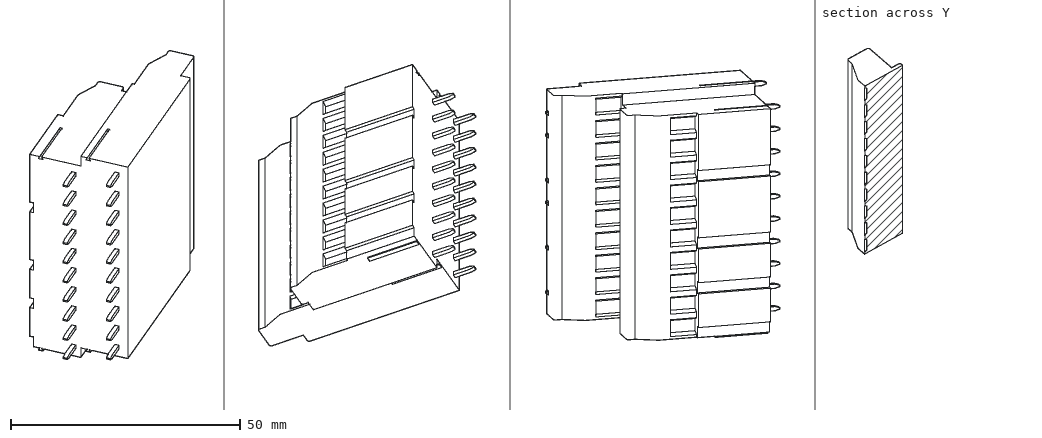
import cadquery as cq


total_width = 23.1
total_length = 50.3
total_height = 53.95
poles = 10
tongue_height = 0.6
pitch = (total_height - tongue_height) / (poles + 0.5)
row_height = poles * pitch
row_offset = pitch / 2

pin_length = 5.0
nib_length = 0.4
body_length = total_length - pin_length - nib_length
slope_width = 2.2
slope_length = 4.75
slope_shoulder = 1.8
corner_radius = 0.5
slope_radius = 0.8

front_lip_y = 16.45
front_lip_depth = 1.3
front_top_y = 31.6
front_back_x = 9.5
front_ledge_y = 30.1

rear_x = 12.05
rear_lip_y = front_ledge_y
rear_lip_depth = 0.5
rear_face_x = rear_x + rear_lip_depth
rear_back_x = 20.7
rear_shelf_y = 36.85

pocket_height = 3.85
pocket_length = 5.95
front_pocket_taper = 0.55
rear_pocket_taper = 0.45
front_pocket_depth = 1.25
rear_pocket_depth = 0.6

notched_cells = (3, 6, 8, 10)
notch_depth = 0.85

dovetail_neck = 0.45
dovetail_width = 1.1
dovetail_length = 12.0
front_dovetail_x = 2.6
row_spacing = 11.15

pin_width = 0.95
pin_tip_height = 0.3
pin_tip_length = 1.1
front_pin_x = 10.35
rear_pin_x = front_pin_x + 2 * pitch

nib_boundaries = (1, 2, 4, 5, 7, 9)
nib_x = 19.2
nib_width = 1.0
nib_base_height = 0.85
nib_tip_height = 0.45


def extrude_row(points, base_z):
    """Extrude an XY profile over the height of one row."""
    return cq.Workplane("XY").workplane(offset=base_z).polyline(points).close().extrude(row_height)


def round_edges(body, corners, radius):
    """Round the vertical edges of a row that pass through the given XY corners."""
    reach = 0.05
    for x, y in corners:
        near = cq.selectors.BoxSelector(
            (x - reach, y - reach, -total_height), (x + reach, y + reach, 2 * total_height)
        )
        body = body.edges("|Z").edges(near).fillet(radius)
    return body


def entry_slope(face_x, top_y):
    """Points of the sloped nose above a wire entry face, ending at its top corner."""
    shoulder_y = top_y - slope_shoulder
    return [
        (face_x, shoulder_y - slope_length),
        (face_x + slope_width, shoulder_y),
        (face_x + slope_width, top_y),
    ]


def make_front_row():
    slope = entry_slope(front_lip_depth, front_top_y)
    top_back = (front_back_x, front_top_y)
    outline = [(0, 0), (0, front_lip_y), (front_lip_depth, front_lip_y), *slope, top_back]
    outline += [(front_back_x, front_ledge_y), (rear_x, front_ledge_y), (rear_x, 0)]
    row = extrude_row(outline, 0)
    row = round_edges(row, [slope[0]], slope_radius)
    return round_edges(row, [slope[2], top_back], corner_radius)


def make_rear_row():
    slope = entry_slope(rear_face_x, body_length)
    top_back = (rear_back_x, body_length)
    shelf_corner = (total_width, rear_shelf_y)
    outline = [(rear_x, 0), (rear_x, rear_lip_y), (rear_face_x, rear_lip_y), *slope, top_back]
    outline += [(rear_back_x, rear_shelf_y), shelf_corner, (total_width, 0)]
    row = extrude_row(outline, row_offset)
    row = round_edges(row, [slope[0]], slope_radius)
    return round_edges(row, [slope[2], top_back, shelf_corner], corner_radius)


def cell_centers(base_z):
    return [base_z + (cell + 0.5) * pitch for cell in range(poles)]


def extrude_section(points, length, plane):
    """Extrude a closed outline drawn in the given plane."""
    return cq.Workplane(plane).polyline(points).close().extrude(length)


def make_pocket(face_x, lip_y, depth, taper, center_z):
    """Wire entry pocket running from the lip along the entry face."""
    mouth = pocket_height / 2
    floor = mouth - taper
    section = [
        (face_x, center_z - mouth),
        (face_x + depth, center_z - floor),
        (face_x + depth, center_z + floor),
        (face_x, center_z + mouth),
    ]
    return extrude_section(section, -pocket_length, "XZ").translate((0, lip_y, 0))


def make_notch(cell):
    notch_z = row_height - cell * pitch
    notch = cq.Workplane("XY").box(notch_depth, front_lip_y, pitch / 2, centered=False)
    return notch.translate((0, 0, notch_z))


def make_dovetail(center_x, neck_z):
    """Dovetail bar that widens downwards from its neck."""
    half_neck = dovetail_neck / 2
    half_width = dovetail_width / 2
    section = [
        (center_x - half_neck, neck_z),
        (center_x + half_neck, neck_z),
        (center_x + half_width, neck_z - tongue_height),
        (center_x - half_width, neck_z - tongue_height),
    ]
    return extrude_section(section, -dovetail_length, "XZ")


def make_pin(center_x, center_z):
    """Square pin whose end narrows in Z to a blunt tip."""
    half = pin_width / 2
    half_tip = pin_tip_height / 2
    taper_y = pin_tip_length - pin_length
    side = [(0, -half), (taper_y, -half), (-pin_length, -half_tip)]
    side += [(-pin_length, half_tip), (taper_y, half), (0, half)]
    return extrude_section(side, pin_width, "YZ").translate((center_x - half, 0, center_z))


def make_nib(center_z):
    half_base = nib_base_height / 2
    half_tip = nib_tip_height / 2
    side = [(0, -half_base), (nib_length, -half_tip), (nib_length, half_tip), (0, half_base)]
    return extrude_section(side, nib_width, "YZ").translate((nib_x - nib_width / 2, body_length, center_z))


result = make_front_row().union(make_rear_row())

for z in cell_centers(0):
    result = result.cut(make_pocket(front_lip_depth, front_lip_y, front_pocket_depth, front_pocket_taper, z))
    result = result.union(make_pin(front_pin_x, z))

for z in cell_centers(row_offset):
    result = result.cut(make_pocket(rear_face_x, rear_lip_y, rear_pocket_depth, rear_pocket_taper, z))
    result = result.union(make_pin(rear_pin_x, z))

for cell in notched_cells:
    result = result.cut(make_notch(cell))

for dovetail_x, base_z in ((front_dovetail_x, 0), (front_dovetail_x + row_spacing, row_offset)):
    result = result.union(make_dovetail(dovetail_x, base_z))
    result = result.cut(make_dovetail(dovetail_x, base_z + row_height))

for boundary in nib_boundaries:
    result = result.union(make_nib(row_offset + row_height - boundary * pitch))